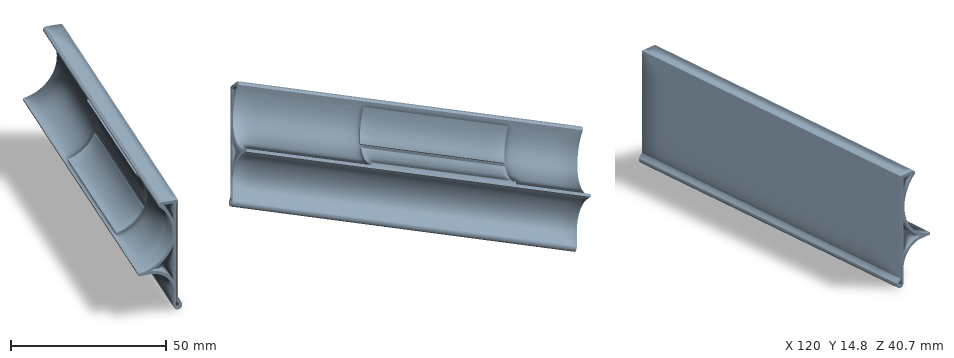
import cadquery as cq
import math

length = 120.0
height = 40.7
wall = 1.5
web = 0.7
slot_width = 0.4

shelf_depth = 6.5
shelf_thickness = 1.1
nose_chamfer = 0.7

cradle_y = -15.5
cradle_z = 28.9
cradle_radius = 13.7
cradle_thickness = 1.0
lip_y = -13.3

bracket_radius = 7.8
bracket_thickness = 1.1
bracket_y = -wall - bracket_radius
bracket_z = 6.8
bracket_top = bracket_z + bracket_radius

hook_radius = 1.5
hook_bore_y = -0.18
hook_bore_z = 1.2
hook_bore_radius = web + hook_bore_y
bore_top = 2.5
hook_arm_z = 2.0
hook_tip_z = 3.5
hook_tip_y = 0.1

pad_length = 50.3
pad_start = 43.9
pad_radius = 12.7
upper_pad_top = 37.5
upper_pad_bottom = 25.9
lower_pad_top = 24.5
lower_pad_bottom = 16.5

lip_angle = -math.acos((lip_y - cradle_y) / cradle_radius)
nose_angle = math.acos((-shelf_depth - cradle_y) / cradle_radius)
nose_z = cradle_z + cradle_radius * math.sin(nose_angle)


def section(x=0.0):
    """Sketch plane across the rail: local axes are Y and Z, extruding toward +X."""
    return cq.Workplane("YZ", origin=(x, 0, 0))


def box(y0, y1, z0, z1, x=0.0, depth=length):
    return section(x).moveTo(y0, z0).lineTo(y1, z0).lineTo(y1, z1).lineTo(y0, z1).close().extrude(depth)


def cradle_point(radius, angle):
    return (cradle_y + radius * math.cos(angle), cradle_z + radius * math.sin(angle))


def curved_plate(inner, outer, start, end, x=0.0, depth=length):
    """Plate between two arcs about the cradle axis, with radial ends."""
    middle = (start + end) / 2
    return (
        section(x)
        .moveTo(*cradle_point(inner, start))
        .threePointArc(cradle_point(inner, middle), cradle_point(inner, end))
        .lineTo(*cradle_point(outer, end))
        .threePointArc(cradle_point(outer, middle), cradle_point(outer, start))
        .close()
        .extrude(depth)
    )


def make_shelf():
    shelf_bottom = height - shelf_thickness
    return (
        section()
        .moveTo(0, height)
        .lineTo(-shelf_depth + nose_chamfer, height)
        .lineTo(-shelf_depth, height - nose_chamfer)
        .lineTo(-shelf_depth, nose_z)
        .lineTo(*cradle_point(cradle_radius + cradle_thickness / 2, nose_angle))
        .lineTo(-wall, shelf_bottom)
        .lineTo(0, shelf_bottom)
        .close()
        .extrude(length)
    )


def make_bracket():
    """Quarter ring rising from the upright, continued level to the back of the cradle."""
    outer = bracket_radius + bracket_thickness
    ring = section().center(bracket_y, bracket_z).circle(outer).circle(bracket_radius).extrude(length)
    quarter = box(bracket_y, -wall / 2, bracket_z, bracket_z + outer)
    level = box(lip_y, bracket_y, bracket_top, bracket_top + bracket_thickness)
    cradle_back = (
        section().center(cradle_y, cradle_z).circle(cradle_radius + cradle_thickness / 2).extrude(length)
    )
    cradle_outer = cradle_radius + cradle_thickness
    meeting_y = cradle_y + math.sqrt(cradle_outer**2 - (cradle_z - bracket_top) ** 2)
    level = level.intersect(box(meeting_y, bracket_y, 0, height))
    return ring.intersect(quarter).union(level).cut(cradle_back)


def make_hook():
    """Rounded foot whose free arm curls up to the back of the upright."""
    outline = (
        section()
        .moveTo(-hook_radius, hook_radius)
        .threePointArc((0, 0), (hook_radius, hook_radius))
        .lineTo(hook_radius, hook_arm_z)
        .lineTo(hook_tip_y, hook_tip_z)
        .lineTo(-wall, hook_tip_z)
        .close()
        .extrude(length)
    )
    round_bore = section().center(hook_bore_y, hook_bore_z).circle(hook_bore_radius).extrude(length)
    tall_bore = box(
        hook_bore_y - hook_bore_radius, hook_bore_y + hook_bore_radius, hook_bore_z, hook_arm_z
    )
    bore_peak = (
        section()
        .moveTo(hook_bore_y - hook_bore_radius, hook_arm_z)
        .lineTo(hook_bore_y + hook_bore_radius, hook_arm_z)
        .lineTo(0, bore_top)
        .lineTo(hook_bore_y - hook_bore_radius, bore_top)
        .close()
        .extrude(length)
    )
    return outline.cut(round_bore.union(tall_bore).union(bore_peak))


def make_slot():
    """Slot through the upright along X, from the hook's bore up to the shelf."""
    return box(-web, -web + slot_width, bore_top, height - shelf_thickness)


def make_rail():
    upright = box(-wall, 0, hook_tip_z, height)
    cradle = curved_plate(cradle_radius, cradle_radius + cradle_thickness, lip_angle, nose_angle)
    body = upright.union(make_shelf()).union(cradle).union(make_bracket()).union(make_hook())
    return body.cut(make_slot())


def make_upper_pad():
    """Pad that follows the cradle above its axis and has a flat front below it."""
    front_y = cradle_y + pad_radius
    rise = upper_pad_top - cradle_z
    drop = upper_pad_bottom - cradle_z
    front_angle = math.asin(rise / pad_radius)
    back_top = math.asin(rise / cradle_radius)
    back_bottom = math.asin(drop / cradle_radius)
    return (
        section(pad_start)
        .moveTo(front_y, upper_pad_bottom)
        .lineTo(front_y, cradle_z)
        .threePointArc(cradle_point(pad_radius, front_angle / 2), cradle_point(pad_radius, front_angle))
        .lineTo(*cradle_point(cradle_radius, back_top))
        .threePointArc(cradle_point(cradle_radius, 0), cradle_point(cradle_radius, back_bottom))
        .close()
        .extrude(pad_length)
    )


def make_lower_pad():
    top_angle = math.asin((lower_pad_top - cradle_z) / pad_radius)
    bottom_angle = math.asin((lower_pad_bottom - cradle_z) / pad_radius)
    return curved_plate(pad_radius, cradle_radius, bottom_angle, top_angle, pad_start, pad_length)


rail = make_rail()
upper_pad = make_upper_pad()
lower_pad = make_lower_pad()

result = cq.Compound.makeCompound([rail.val(), upper_pad.val(), lower_pad.val()])